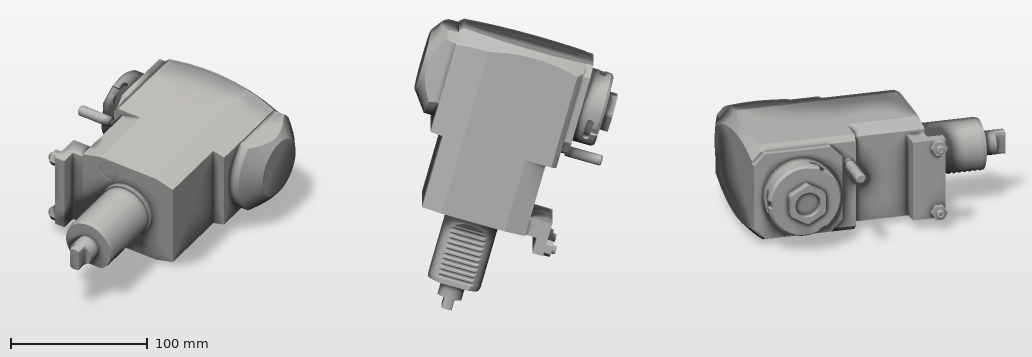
import cadquery as cq
import math


HALF_HEIGHT = 37.5
BACK_Y = 134.0
HEAD_LEFT_X = -47.2
HEAD_RIGHT_X = 48.5
HEAD_FRONT_Y = 54.8
HEAD_EDGE_WIDTH = 4.0
HEAD_REAR_CHAMFER = 2.9
BASE_HALF_WIDTH = 39.1
BASE_TAPER_LEFT_X = -23.7
TAPER_RIGHT_X = 24.3
TAPER_SLOPE = math.tan(math.radians(15))
SIDE_HALF_HEIGHT = 33.4
CROWN_X = (HEAD_LEFT_X + HEAD_EDGE_WIDTH + TAPER_RIGHT_X) / 2
CROWN_RADIUS = 123.5
CROWN_CHAMFER = 4.7
PLUG_X = -16.3
PLUG_Z = 27.6
PLUG_RADIUS = 7.8
PLUG_DEPTH = 0.5

SHOULDER_RADIUS = 21.5
SHOULDER_LENGTH = 2.9
SHOULDER_CHAMFER = 0.8
RELIEF_RADIUS = 19.4
RELIEF_END = 3.7
SHANK_RADIUS = 20.0
SHANK_LENGTH = 53.4
SHANK_TIP_RADIUS = 19.4
SHANK_TIP_LENGTH = 3.0
RACK_DROP = 15.9
RACK_START = 9.5
TOOTH_DEPTH = 1.5
TOOTH_GAP_COUNT = 10
TOOTH_GAP_WIDTH = 2.9
TOOTH_ROOT_WIDTH = 0.8
FIRST_GAP = 12.2
LAST_GAP = 48.2
TOOTH_PITCH = (LAST_GAP - FIRST_GAP) / (TOOTH_GAP_COUNT - 1)
DRIVE_RADIUS = 9.0
DRIVE_SHOULDER = 64.0
DRIVE_END = 72.0
TANG_HALF_WIDTH = 4.0
TANG_FLAT_HALF_HEIGHT = 6.5
TANG_EDGE_HALF_WIDTH = 3.3
TANG_ROOT_FILLET = 1.2

SPINDLE_Y = 100.0
PLATE_LEFT_X = -52.7
PLATE_FRONT_Y = 66.5
PLATE_CORNER = 8.7
COLLAR_LEFT_X = -70.2
COLLAR_RADIUS = 27.6
COLLAR_RIM_LENGTH = 2.0
COLLAR_RIM_RADIUS = 26.2
COLLAR_GROOVE_WIDTH = 0.8
COLLAR_GROOVE_RADIUS = 26.8
SLOT_COUNT = 3
SLOT_CENTER_X = -62.0
SLOT_WIDTH = 5.0
SLOT_DEPTH = 3.0
SLOT_SPAN = 39.0
NOTCH_WIDTH = 5.8
NOTCH_DEPTH = 2.7
HEX_LEFT_X = -77.0
HEX_FLATS = 26.8
HEX_CORNER_CHAMFER = 1.0
BORE_RADIUS = 9.7
BORE_DEPTH = 5.5

CAP_RADIUS = 37.5
CAP_CONE_X = 55.8
CAP_END_X = 67.2
CAP_END_RADIUS = 22.5
CAP_HALF_HEIGHT = 29.7
CAP_SLOPE_X = 51.7
CAP_BACK_Y = 130.0

PIPE_Y = 60.5
PIPE_Z = 17.0
PIPE_END_X = -80.1
PIPE_INNER_X = -53.0
PIPE_RADIUS = 4.0
PIPE_TIP_CHAMFER = 1.0
PIPE_NECK_RADIUS = 2.5
PIPE_FLARE_X = -49.5
NOZZLE_Z = 10.3
NOZZLE_RADIUS = 3.7
NOZZLE_RECESS = 0.5
NOZZLE_HOLE_RADIUS = 1.2
NOZZLE_HOLE_DEPTH = 2.0

BRACKET_LEFT_X = -55.8
BRACKET_TONGUE_X = -47.8
BRACKET_BACK_Y = 13.8
ARM_FRONT_Y = 0.6
BRACKET_FRONT_Y = -11.1
BRACKET_HALF_HEIGHT = 30.7
SCREW_Y = -5.4
SCREW_Z = 25.3
NUT_LEFT_X = -61.0
NUT_DIAMETER = 12.0
SCREW_LEFT_X = -63.9
SCREW_RADIUS = 3.0
SCREW_CHAMFER = 0.6
SOCKET_DIAMETER = 3.7
SOCKET_DEPTH = 1.6


def prism_along_y(points, front_y, back_y):
    """Extrude a closed (x, z) outline from front_y to back_y."""
    plane = cq.Workplane("XZ", origin=(0, back_y, 0))
    return plane.polyline(points).close().extrude(back_y - front_y)


def mirrored_outline(upper_points):
    """Close an outline given from left to right above z = 0 with its mirror image below."""
    return upper_points + [(x, -z) for x, z in reversed(upper_points)]


def block(x_range, y_range, half_height):
    """Box over the given x and y ranges, centred on z = 0."""
    return prism_along_y(mirrored_outline([(x, half_height) for x in x_range]), *y_range)


def rod_along_x(left_x, right_x, radius, y, z):
    return cq.Workplane("YZ", origin=(left_x, y, z)).circle(radius).extrude(right_x - left_x)


def turned_along_x(profile, y, z):
    """Revolve an (x, radius) outline around the line through (y, z) along X."""
    return cq.Workplane("XY", origin=(0, y, z)).polyline(profile).close().revolve(360, (0, 0, 0), (1, 0, 0))


def hexagon_along_x(left_x, right_x, diameter, y, z, turn=0):
    """Hexagonal bar with two corners toward +Y and -Y, turned about its axis by the given angle."""
    plane = cq.Workplane("YZ", origin=(left_x, y, z))
    return plane.transformed(rotate=(0, 0, turn)).polygon(6, diameter).extrude(right_x - left_x)


def taper_height(x):
    """Half height of the right-hand taper at x."""
    return HALF_HEIGHT - (x - TAPER_RIGHT_X) * TAPER_SLOPE


def make_body():
    base_left_height = HALF_HEIGHT - (BASE_TAPER_LEFT_X + BASE_HALF_WIDTH) * TAPER_SLOPE
    head_outline = mirrored_outline([
        (HEAD_LEFT_X, SIDE_HALF_HEIGHT),
        (HEAD_LEFT_X + HEAD_EDGE_WIDTH, HALF_HEIGHT),
        (TAPER_RIGHT_X, HALF_HEIGHT),
        (HEAD_RIGHT_X, taper_height(HEAD_RIGHT_X)),
    ])
    base_outline = mirrored_outline([
        (-BASE_HALF_WIDTH, base_left_height),
        (BASE_TAPER_LEFT_X, HALF_HEIGHT),
        (TAPER_RIGHT_X, HALF_HEIGHT),
        (BASE_HALF_WIDTH, taper_height(BASE_HALF_WIDTH)),
    ])
    head = prism_along_y(head_outline, HEAD_FRONT_Y, BACK_Y)
    head = head.faces(">X").edges(">Y").chamfer(HEAD_REAR_CHAMFER)
    return head.union(prism_along_y(base_outline, 0, HEAD_FRONT_Y))


def make_plate():
    plate = block((PLATE_LEFT_X, HEAD_LEFT_X), (PLATE_FRONT_Y, BACK_Y), SIDE_HALF_HEIGHT)
    return plate.edges("|X").chamfer(PLATE_CORNER)


def crown_cone(side):
    """Wide 45 degree cone that bevels the curved rear edge above (side = 1) or below (side = -1)."""
    rear_radius = CROWN_RADIUS - CROWN_CHAMFER
    axis_z = side * (HALF_HEIGHT - CROWN_RADIUS)
    profile = [(0, 0), (rear_radius + BACK_Y, 0), (rear_radius, BACK_Y), (0, BACK_Y)]
    cone = cq.Workplane("XY").polyline(profile).close().revolve(360, (0, 0, 0), (0, 1, 0))
    return cone.translate((CROWN_X, 0, axis_z))


def make_shank():
    profile = [
        (0, 0),
        (SHOULDER_RADIUS, 0),
        (SHOULDER_RADIUS, SHOULDER_CHAMFER - SHOULDER_LENGTH),
        (SHOULDER_RADIUS - SHOULDER_CHAMFER, -SHOULDER_LENGTH),
        (RELIEF_RADIUS, -SHOULDER_LENGTH),
        (RELIEF_RADIUS, -RELIEF_END),
        (SHANK_RADIUS, -RELIEF_END),
        (SHANK_RADIUS, SHANK_TIP_LENGTH - SHANK_LENGTH),
        (SHANK_TIP_RADIUS, -SHANK_LENGTH),
        (0, -SHANK_LENGTH),
    ]
    shank = cq.Workplane("XY").polyline(profile).close().revolve(360, (0, 0, 0), (0, 1, 0))

    cut_depth = SHANK_RADIUS - RACK_DROP
    flat = [
        (-RACK_START, -RACK_DROP),
        (-SHANK_LENGTH, -RACK_DROP),
        (-SHANK_LENGTH, -SHANK_RADIUS),
        (cut_depth - RACK_START, -SHANK_RADIUS),
    ]
    cuts = [flat]
    root_z = TOOTH_DEPTH - RACK_DROP
    for index in range(TOOTH_GAP_COUNT):
        gap_y = -FIRST_GAP - index * TOOTH_PITCH
        cuts.append([
            (gap_y - TOOTH_GAP_WIDTH / 2, -RACK_DROP),
            (gap_y - TOOTH_ROOT_WIDTH / 2, root_z),
            (gap_y + TOOTH_ROOT_WIDTH / 2, root_z),
            (gap_y + TOOTH_GAP_WIDTH / 2, -RACK_DROP),
        ])
    for outline in cuts:
        shank = shank.cut(cq.Workplane("YZ").polyline(outline).close().extrude(SHANK_RADIUS, both=True))
    return shank


def make_drive():
    plane = cq.Workplane("XZ", origin=(0, -SHANK_LENGTH, 0))
    drive = plane.circle(DRIVE_RADIUS).extrude(DRIVE_SHOULDER - SHANK_LENGTH)
    tang_outline = mirrored_outline([
        (-TANG_HALF_WIDTH, TANG_FLAT_HALF_HEIGHT),
        (-TANG_EDGE_HALF_WIDTH, DRIVE_RADIUS),
        (TANG_EDGE_HALF_WIDTH, DRIVE_RADIUS),
        (TANG_HALF_WIDTH, TANG_FLAT_HALF_HEIGHT),
    ])
    tang = prism_along_y(tang_outline, -DRIVE_END, -DRIVE_SHOULDER)
    tang_round = cq.Workplane("XZ").circle(DRIVE_RADIUS).extrude(DRIVE_END)
    drive = drive.union(tang.intersect(tang_round))

    fillet_y = -DRIVE_SHOULDER - TANG_ROOT_FILLET
    for side in (-1, 1):
        root = cq.Workplane("XY").moveTo(0, -DRIVE_SHOULDER)
        root = root.lineTo(side * (TANG_HALF_WIDTH + TANG_ROOT_FILLET), -DRIVE_SHOULDER)
        root = root.radiusArc((side * TANG_HALF_WIDTH, fillet_y), -side * TANG_ROOT_FILLET)
        root = root.lineTo(0, fillet_y).close()
        drive = drive.union(root.extrude(TANG_FLAT_HALF_HEIGHT, both=True))
    return drive


def make_collar_slot():
    """Slot around the collar on its +Y side, with a notch joining it to the outer face."""
    floor_radius = COLLAR_RADIUS - SLOT_DEPTH
    outer_radius = COLLAR_RADIUS + SLOT_DEPTH
    end_angle = SLOT_SPAN / 2 - math.degrees(SLOT_WIDTH / 2 / COLLAR_RADIUS)
    profile = [
        (SLOT_CENTER_X + side * SLOT_WIDTH / 2, radius)
        for side, radius in [(-1, 0), (1, 0), (1, outer_radius), (-1, outer_radius)]
    ]
    arc = cq.Workplane("XY").polyline(profile).close().revolve(2 * end_angle, (0, 0, 0), (1, 0, 0))
    slot = arc.rotate((0, 0, 0), (1, 0, 0), -end_angle)
    end = cq.Workplane("XZ", origin=(SLOT_CENTER_X, 0, 0)).circle(SLOT_WIDTH / 2).extrude(-outer_radius)
    for angle in (-end_angle, end_angle):
        slot = slot.union(end.rotate((0, 0, 0), (1, 0, 0), angle))
    core = rod_along_x(COLLAR_LEFT_X, PLATE_LEFT_X, floor_radius, 0, 0)
    notch_y_range = (COLLAR_RADIUS - NOTCH_DEPTH, outer_radius)
    notch = block((COLLAR_LEFT_X, SLOT_CENTER_X), notch_y_range, NOTCH_WIDTH / 2)
    return slot.cut(core).union(notch)


def make_collar():
    profile = [
        (PLATE_LEFT_X, 0),
        (PLATE_LEFT_X, COLLAR_GROOVE_RADIUS),
        (PLATE_LEFT_X - COLLAR_GROOVE_WIDTH, COLLAR_GROOVE_RADIUS),
        (PLATE_LEFT_X - COLLAR_GROOVE_WIDTH, COLLAR_RADIUS),
        (COLLAR_LEFT_X + COLLAR_RIM_LENGTH, COLLAR_RADIUS),
        (COLLAR_LEFT_X, COLLAR_RIM_RADIUS),
        (COLLAR_LEFT_X, 0),
    ]
    collar = turned_along_x(profile, 0, 0)
    slot = make_collar_slot()
    for index in range(SLOT_COUNT):
        collar = collar.cut(slot.rotate((0, 0, 0), (1, 0, 0), index * 360 / SLOT_COUNT))
    hex_diameter = HEX_FLATS / math.cos(math.radians(30))
    nut = hexagon_along_x(HEX_LEFT_X, COLLAR_LEFT_X, hex_diameter, 0, 0, turn=30)
    nut = nut.edges("|X").chamfer(HEX_CORNER_CHAMFER)
    bore = rod_along_x(HEX_LEFT_X, HEX_LEFT_X + BORE_DEPTH, BORE_RADIUS, 0, 0)
    return collar.union(nut).cut(bore).translate((0, SPINDLE_Y, 0))


def make_cap():
    """Coned disc cut flat behind, and above and below to follow the taper of the body."""
    profile = [
        (HEAD_RIGHT_X, 0),
        (HEAD_RIGHT_X, CAP_RADIUS),
        (CAP_CONE_X, CAP_RADIUS),
        (CAP_END_X, CAP_END_RADIUS),
        (CAP_END_X, 0),
    ]
    envelope = mirrored_outline([
        (HEAD_RIGHT_X, CAP_HALF_HEIGHT),
        (CAP_SLOPE_X, CAP_HALF_HEIGHT),
        (CAP_END_X, CAP_HALF_HEIGHT - (CAP_END_X - CAP_SLOPE_X) * TAPER_SLOPE),
    ])
    disc = turned_along_x(profile, SPINDLE_Y, 0)
    return disc.intersect(prism_along_y(envelope, SPINDLE_Y - CAP_RADIUS, CAP_BACK_Y))


def make_pipe():
    profile = [
        (PIPE_END_X, 0),
        (PIPE_END_X, PIPE_RADIUS - PIPE_TIP_CHAMFER),
        (PIPE_END_X + PIPE_TIP_CHAMFER, PIPE_RADIUS),
        (PIPE_INNER_X, PIPE_RADIUS),
        (PIPE_INNER_X, PIPE_NECK_RADIUS),
        (PIPE_FLARE_X, PIPE_NECK_RADIUS),
        (HEAD_LEFT_X, PIPE_RADIUS),
        (HEAD_LEFT_X, 0),
    ]
    return turned_along_x(profile, PIPE_Y, PIPE_Z)


def make_nozzle_recess():
    recess = rod_along_x(HEAD_LEFT_X, HEAD_LEFT_X + NOZZLE_RECESS, NOZZLE_RADIUS, PIPE_Y, NOZZLE_Z)
    hole = rod_along_x(HEAD_LEFT_X, HEAD_LEFT_X + NOZZLE_HOLE_DEPTH, NOZZLE_HOLE_RADIUS, PIPE_Y, NOZZLE_Z)
    return recess.union(hole)


def make_bracket():
    arm = block((BRACKET_LEFT_X, -BASE_HALF_WIDTH), (ARM_FRONT_Y, BRACKET_BACK_Y), BRACKET_HALF_HEIGHT)
    tongue = block((BRACKET_LEFT_X, BRACKET_TONGUE_X), (BRACKET_FRONT_Y, ARM_FRONT_Y), BRACKET_HALF_HEIGHT)
    bracket = arm.union(tongue)
    for z in (-SCREW_Z, SCREW_Z):
        nut = hexagon_along_x(NUT_LEFT_X, BRACKET_LEFT_X, NUT_DIAMETER, SCREW_Y, z)
        screw = rod_along_x(SCREW_LEFT_X, NUT_LEFT_X, SCREW_RADIUS, SCREW_Y, z)
        screw = screw.faces("<X").chamfer(SCREW_CHAMFER)
        socket_end_x = SCREW_LEFT_X + SOCKET_DEPTH
        socket = hexagon_along_x(SCREW_LEFT_X, socket_end_x, SOCKET_DIAMETER, SCREW_Y, z)
        bracket = bracket.union(nut).union(screw.cut(socket))
    return bracket


plug_recess = cq.Workplane("XZ", origin=(PLUG_X, 0, PLUG_Z)).circle(PLUG_RADIUS).extrude(-PLUG_DEPTH)

housing = make_body()
for crown_side in (1, -1):
    housing = housing.intersect(crown_cone(crown_side))
housing = housing.union(make_plate()).cut(plug_recess).cut(make_nozzle_recess())

result = housing
for part in (make_shank(), make_drive(), make_collar(), make_cap(), make_pipe(), make_bracket()):
    result = result.union(part)